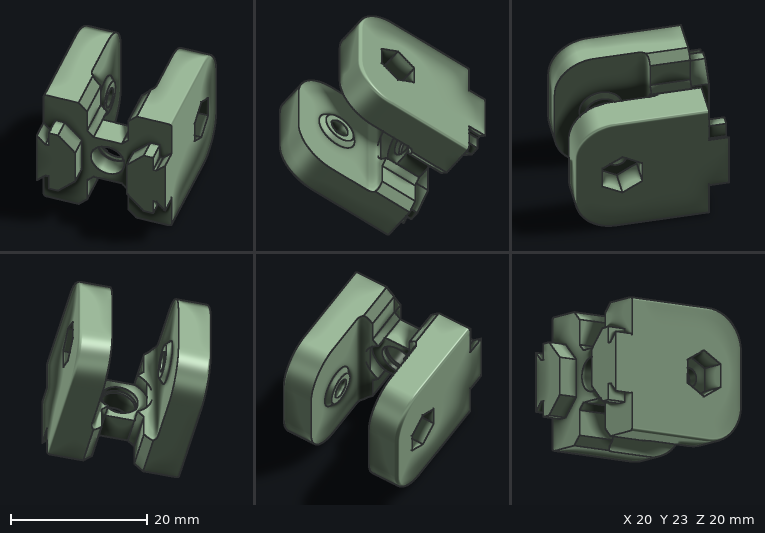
import cadquery as cq

width = 20.0
height = 20.0
length = 23.0
tenon_length = 3.0
corner_radius = 6.0
edge_radius = 0.5

fork_gap = 10.0
fork_floor_y = 9.02
fork_fillet = 1.38

channel_half_width = 3.2
channel_mouth_chamfer = 1.33
channel_floor_chamfer = 1.0
web_half_height = 3.9

screw_diameter = 5.2
screw_relief_diameter = 5.5
relief_start_y = 5.98
relief_taper_length = 0.32
screw_head_diameter = 9.0
screw_head_seat_y = 7.08

axle_y = 16.0
axle_diameter = 3.0
boss_base_diameter = 6.5
boss_height = 0.74
boss_tip_diameter = boss_base_diameter - 2 * boss_height
nut_across_corners = 6.92
nut_pocket_depth = 4.0

tenon_inner_x = 4.0
tenon_inner_half_height = 2.8
tenon_half_height = 5.47
tenon_shoulder_x = tenon_inner_x + tenon_half_height - tenon_inner_half_height
notch_inner_x = 8.15
notch_outer_x = 8.65
notch_half_height = 3.08
tenon_outer_half_height = notch_half_height + width / 2 - notch_outer_x


def along_y(start_y):
    """Sketch plane facing +Y, with X to the left and Z up."""
    return cq.Workplane(cq.Plane((0, start_y, 0), (-1, 0, 0), (0, 1, 0)))


def axle_plane(x):
    """Sketch plane facing +X, centred on the axle."""
    return cq.Workplane("YZ", origin=(x, axle_y, 0))


def make_block():
    body_length = length - tenon_length
    block = cq.Workplane("XY").box(width, body_length, height)
    block = block.translate((0, tenon_length + body_length / 2, 0))
    block = block.edges("|X and >Y").fillet(corner_radius)
    side_edges = block.faces("<X or >X").edges("not <Y")
    return side_edges.fillet(edge_radius)


def make_fork_opening():
    depth = length - fork_floor_y
    opening = cq.Workplane("XY").box(fork_gap, depth, height)
    opening = opening.translate((0, fork_floor_y + depth / 2, 0))
    return opening.edges("|Z and <Y").fillet(fork_fillet)


def make_channel():
    top = height / 2
    mouth_half_width = channel_half_width + channel_mouth_chamfer
    floor_half_width = channel_half_width - channel_floor_chamfer
    right_side = [
        (floor_half_width, web_half_height),
        (channel_half_width, web_half_height + channel_floor_chamfer),
        (channel_half_width, top - channel_mouth_chamfer),
        (mouth_half_width, top),
    ]
    left_side = [(-x, z) for x, z in reversed(right_side)]
    return along_y(tenon_length).polyline(right_side + left_side).close().extrude(length)


def make_boss():
    """Conical boss on the inner face of the -X cheek."""
    base = axle_plane(-fork_gap / 2).circle(boss_base_diameter / 2)
    return base.workplane(offset=boss_height).circle(boss_tip_diameter / 2).loft()


def make_nut_pocket():
    """Hexagonal pocket in the -X cheek, with corners pointing up and down."""
    pocket = axle_plane(-width / 2).transformed(rotate=(0, 0, 90))
    return pocket.polygon(6, nut_across_corners).extrude(nut_pocket_depth)


def make_tenon():
    """Hooked tenon on the +X side."""
    upper = [
        (tenon_inner_x, tenon_inner_half_height),
        (tenon_shoulder_x, tenon_half_height),
        (notch_inner_x, tenon_half_height),
        (notch_inner_x, notch_half_height),
        (notch_outer_x, notch_half_height),
        (width / 2, tenon_outer_half_height),
    ]
    lower = [(x, -z) for x, z in reversed(upper)]
    return cq.Workplane("XZ").polyline(upper + lower).close().extrude(-tenon_length)


def make_screw_bore():
    """Screw hole, tapered relief and head recess along Y."""
    hole = along_y(0).circle(screw_diameter / 2).extrude(fork_floor_y)
    taper = along_y(relief_start_y).circle(screw_diameter / 2)
    taper = taper.workplane(offset=relief_taper_length).circle(screw_relief_diameter / 2).loft()
    relief_y = relief_start_y + relief_taper_length
    relief = along_y(relief_y).circle(screw_relief_diameter / 2).extrude(fork_floor_y - relief_y)
    head_recess = along_y(screw_head_seat_y).circle(screw_head_diameter / 2)
    head_recess = head_recess.extrude(fork_floor_y - screw_head_seat_y)
    return hole.union(taper).union(relief).union(head_recess)


channel = make_channel()
boss = make_boss()
nut_pocket = make_nut_pocket()
tenon = make_tenon()

result = make_block().cut(make_fork_opening())
result = result.cut(channel).cut(channel.mirror("XY"))
for side_feature in (boss, tenon):
    result = result.union(side_feature).union(side_feature.mirror("YZ"))

result = result.cut(make_screw_bore())
result = result.cut(axle_plane(-width / 2).circle(axle_diameter / 2).extrude(width))
result = result.cut(nut_pocket).cut(nut_pocket.mirror("YZ"))